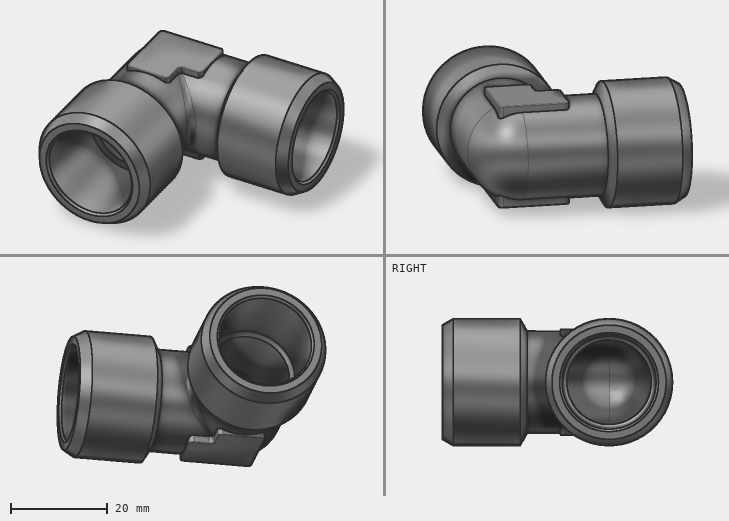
import cadquery as cq
import math

length = 47.65
collar_diameter = 26.3
pipe_diameter = 21.2
bore_diameter = 17.5
throat_diameter = 19.5
mouth_diameter = 20.5

collar_radius = collar_diameter / 2
pipe_radius = pipe_diameter / 2
bore_radius = bore_diameter / 2
throat_radius = throat_diameter / 2
mouth_radius = mouth_diameter / 2
arm_length = length - collar_radius

collar_start = 16.95
cone_angle = math.radians(30)
shoulder_length = (collar_radius - pipe_radius) * math.tan(cone_angle)
tip_length = 2.3
tip_radius = collar_radius - tip_length * math.tan(cone_angle)

throat_end = collar_start
cone_length = (throat_radius - bore_radius) * math.tan(cone_angle)
mouth_chamfer = mouth_radius - throat_radius

pad_height = 10.95
pad_near = 4.95
pad_far = 10.05
pad_corner_radius = 0.95
pad_edge_radius = 0.2

crotch_radius = 1.35
crease_tolerance = 0.005


def two_arms(arm):
    """Join an arm along +X with its copy flipped onto -Y."""
    return arm.union(arm.rotate((0, 0, 0), (1, -1, 0), 180))


def revolved_arm(profile):
    """Turn (axial, radial) points about the X axis."""
    return cq.Workplane("XY").polyline(profile).close().revolve(360, (0, 0), (1, 0))


def elbow_body():
    pipe = revolved_arm([(0, 0), (0, pipe_radius), (arm_length, pipe_radius), (arm_length, 0)])
    return two_arms(pipe).union(cq.Workplane("XY").sphere(pipe_radius))


def lies_on_crease(edge):
    """The pipes meet on the plane x + y = 0."""
    middle = edge.positionAt(0.5)
    return abs(middle.x + middle.y) < crease_tolerance and middle.x > pad_near


def crotch_fillet(body):
    """Round the inner crease between the two pipes."""
    return body.edges().filter(lies_on_crease).fillet(crotch_radius)


def collar():
    return revolved_arm([
        (collar_start, 0),
        (collar_start, pipe_radius),
        (collar_start + shoulder_length, collar_radius),
        (arm_length - tip_length, collar_radius),
        (arm_length, tip_radius),
        (arm_length, 0),
    ])


def bore():
    arm = revolved_arm([
        (0, 0),
        (0, bore_radius),
        (throat_end - cone_length, bore_radius),
        (throat_end, throat_radius),
        (arm_length - mouth_chamfer, throat_radius),
        (arm_length, mouth_radius),
        (arm_length, 0),
    ])
    return two_arms(arm).union(cq.Workplane("XY").sphere(bore_radius))


def wrench_pads():
    outline = [
        (-pad_near, pad_near),
        (pad_far, pad_near),
        (pad_far, -pad_near),
        (pad_near, -pad_near),
        (pad_near, -pad_far),
        (-pad_near, -pad_far),
    ]
    block = cq.Workplane("XY").polyline(outline).close().extrude(pad_height, both=True)
    block = block.edges("|Z").fillet(pad_corner_radius)
    return block.faces("<Z or >Z").edges().fillet(pad_edge_radius)


outside = crotch_fillet(elbow_body()).union(two_arms(collar())).union(wrench_pads())
result = outside.cut(bore())